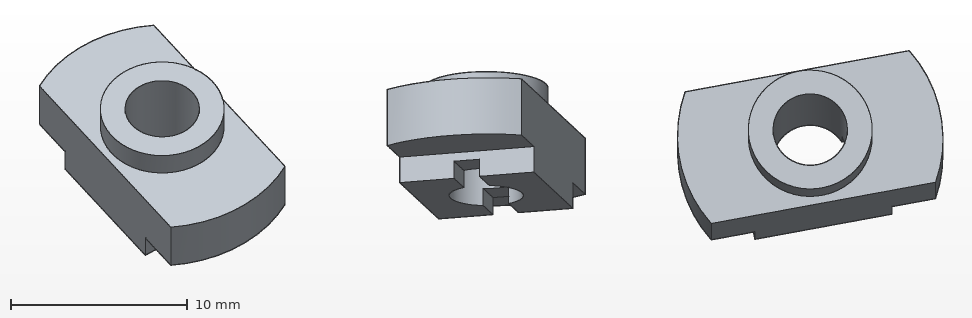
import cadquery as cq
import math

length = 15.0
width = 7.9
body_height = 3.3
end_radius = 8.0

foot_height = 1.5
slot_width = 1.5
slot_depth = 1.0

boss_diameter = 7.0
boss_height = 1.5
bore_diameter = 4.2

body_top = foot_height + body_height

end_bow = end_radius - math.sqrt(end_radius**2 - (width / 2) ** 2)
end_x = length / 2
corner_x = end_x - end_bow
side_y = width / 2


def make_body():
    return (
        cq.Workplane("XY", origin=(0, 0, foot_height))
        .moveTo(-corner_x, -side_y)
        .lineTo(corner_x, -side_y)
        .threePointArc((end_x, 0), (corner_x, side_y))
        .lineTo(-corner_x, side_y)
        .threePointArc((-end_x, 0), (-corner_x, -side_y))
        .close()
        .extrude(body_height)
    )


def make_foot():
    foot = cq.Workplane("XY").rect(width, width).extrude(foot_height)
    slot = cq.Workplane("XY").rect(width, slot_width).extrude(slot_depth)
    return foot.cut(slot)


def make_boss():
    return cq.Workplane("XY", origin=(0, 0, body_top)).circle(boss_diameter / 2).extrude(boss_height)


bore = cq.Workplane("XY").circle(bore_diameter / 2).extrude(body_top + boss_height)

result = make_body().union(make_foot()).union(make_boss()).cut(bore)